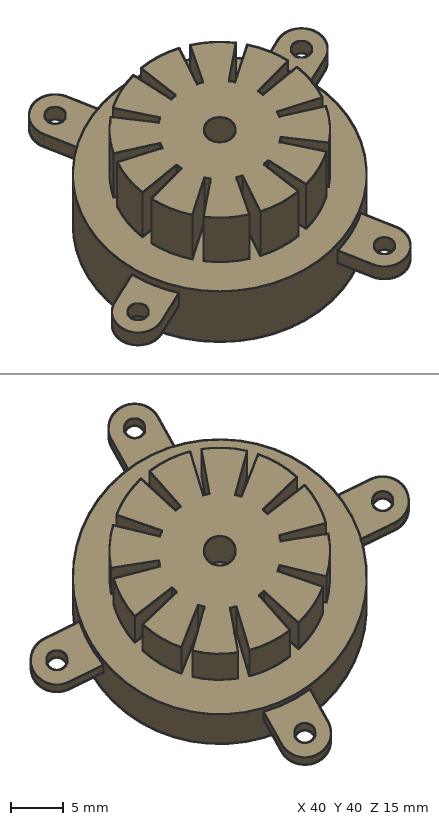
import cadquery as cq
import math

housing_diameter = 28.0
housing_height = 8.0

rotor_diameter = 21.0
rotor_height = 7.0
slot_count = 12
slot_pitch = 360.0 / slot_count
slot_angle = 6.0
slot_inner_radius = 5.9
bore_diameter = 3.0
bore_depth = rotor_height

lug_count = 4
lug_reach = 20.0
lug_width = 5.0
lug_thickness = 2.0
lug_bottom = 5.0
lug_hole_diameter = 2.0
lug_hole_radius = lug_reach - lug_width / 2
lug_root_radius = housing_diameter / 2 - lug_thickness


def make_lug():
    """Round-ended lug along +X, with its root buried in the housing."""
    arm_length = lug_hole_radius - lug_root_radius
    arm = cq.Workplane("XY").box(arm_length, lug_width, lug_thickness, centered=(False, True, False))
    arm = arm.translate((lug_root_radius, 0, 0))
    tip = cq.Workplane("XY").center(lug_hole_radius, 0).circle(lug_width / 2).extrude(lug_thickness)
    hole = cq.Workplane("XY").center(lug_hole_radius, 0).circle(lug_hole_diameter / 2).extrude(lug_thickness)
    return arm.union(tip).cut(hole).translate((0, 0, lug_bottom))


def make_slot():
    """Cutter along +X whose sides lie on radial planes."""
    slope = math.tan(math.radians(slot_angle / 2))
    outer_x = housing_diameter / 2
    slot = cq.Workplane("XY").workplane(offset=housing_height).polyline([
        (slot_inner_radius, -slot_inner_radius * slope),
        (outer_x, -outer_x * slope),
        (outer_x, outer_x * slope),
        (slot_inner_radius, slot_inner_radius * slope),
    ])
    return slot.close().extrude(rotor_height)


def make_rotor():
    """Rotor disc with radial slots and a blind central bore."""
    rotor = cq.Workplane("XY").workplane(offset=housing_height).circle(rotor_diameter / 2).extrude(rotor_height)
    slot = make_slot()
    for index in range(slot_count):
        angle = (index + 0.5) * slot_pitch
        rotor = rotor.cut(slot.rotate((0, 0, 0), (0, 0, 1), angle))
    return rotor.faces(">Z").workplane(origin=(0, 0, 0)).hole(bore_diameter, bore_depth)


body = cq.Workplane("XY").circle(housing_diameter / 2).extrude(housing_height)
lug = make_lug()
for index in range(lug_count):
    body = body.union(lug.rotate((0, 0, 0), (0, 0, 1), index * 360.0 / lug_count))

result = body.union(make_rotor())